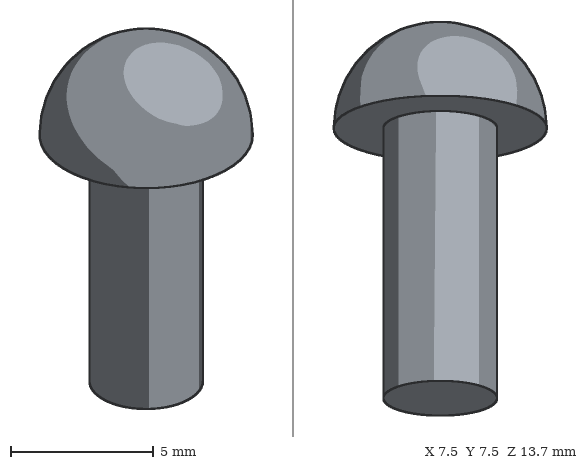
import cadquery as cq

total_height = 13.72
head_diameter = 7.5
shank_diameter = 4.0

head_radius = head_diameter / 2
shank_length = total_height - head_radius


def make_shank():
    """Plain cylinder standing on the XY plane."""
    return cq.Workplane("XY").circle(shank_diameter / 2).extrude(shank_length)


def make_head():
    """Half ball whose flat underside rests on the top of the shank."""
    return (
        cq.Workplane("XY")
        .sphere(head_radius, angle1=0, angle2=90)
        .translate((0, 0, shank_length))
    )


shank = make_shank()
head = make_head()

result = cq.Compound.makeCompound([head.val(), shank.val()])